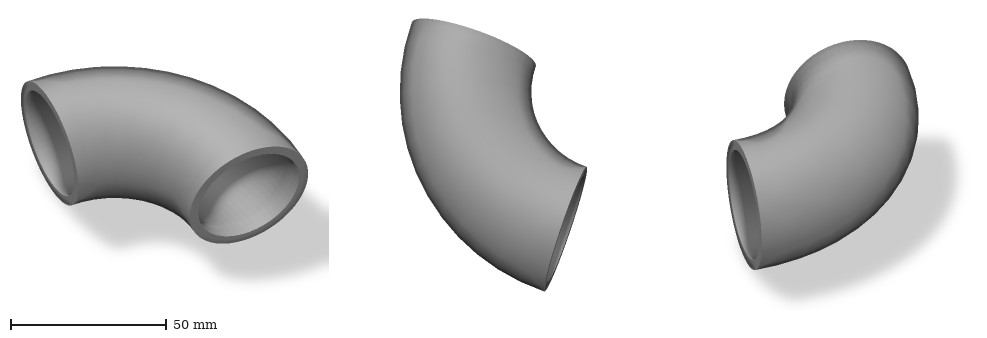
import cadquery as cq

overall_length = 69.2
outer_diameter = 42.4
wall_thickness = 3.2
bend_angle = 90.0

outer_radius = outer_diameter / 2
inner_radius = outer_radius - wall_thickness
bend_radius = overall_length - outer_radius

result = (
    cq.Workplane("XZ")
    .center(-bend_radius, 0)
    .circle(outer_radius)
    .circle(inner_radius)
    .revolve(bend_angle, (bend_radius, 0.7, 0), (bend_radius, 0, 0))
)